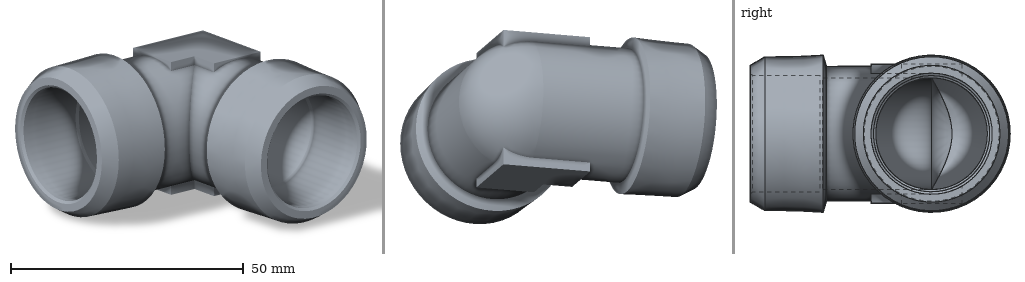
import cadquery as cq
import math

tube_radius = 29.0 / 2
collar_radius = 33.8 / 2
arm_length = 55.9 - collar_radius

collar_start = 22.6
collar_back_bevel = 0.7
collar_front_radius = 16.55
nose_length = 3.2
nose_angle = 30
nose_radius = collar_front_radius - nose_length * math.tan(math.radians(nose_angle))

bore_radius = 24.0 / 2
socket_radius = 25.0 / 2
socket_depth = 15.0
shoulder_bevel = socket_radius - bore_radius
mouth_radius = 13.0
mouth_chamfer = mouth_radius - socket_radius
drill_half_angle = 60
drill_tip = bore_radius / math.tan(math.radians(drill_half_angle))

pad_half_height = 15.0
pad_corner = 6.5
pad_reach = 13.0


def revolve_about_x(points):
    """Turn a closed (x, radius) outline about the X axis."""
    return cq.Workplane("XY").polyline(points).close().revolve(360, (0, 0, 0), (1, 0, 0))


def second_arm(arm):
    """Turn a body from the +X arm onto the -Y arm."""
    return arm.rotate((0, 0, 0), (0, 0, 1), -90)


def arm_outside():
    return revolve_about_x([
        (0, 0),
        (0, tube_radius),
        (collar_start, tube_radius),
        (collar_start + collar_back_bevel, collar_radius),
        (arm_length - nose_length, collar_front_radius),
        (arm_length, nose_radius),
        (arm_length, 0),
    ])


def arm_bore():
    socket_floor = arm_length - socket_depth
    return revolve_about_x([
        (-drill_tip, 0),
        (0, bore_radius),
        (socket_floor - shoulder_bevel, bore_radius),
        (socket_floor, socket_radius),
        (arm_length - mouth_chamfer, socket_radius),
        (arm_length, mouth_radius),
        (arm_length, 0),
    ])


def pads():
    """L-shaped block through the corner; its two ends stand out as pads."""
    outline = [
        (-pad_corner, pad_corner),
        (pad_reach, pad_corner),
        (pad_reach, -pad_corner),
        (pad_corner, -pad_corner),
        (pad_corner, -pad_reach),
        (-pad_corner, -pad_reach),
    ]
    return cq.Workplane("XY").polyline(outline).close().extrude(pad_half_height, both=True)


outside = arm_outside()
bore = arm_bore()
corner = cq.Workplane("XY").sphere(tube_radius)

body = outside.union(second_arm(outside)).union(corner).union(pads())
result = body.cut(bore).cut(second_arm(bore))